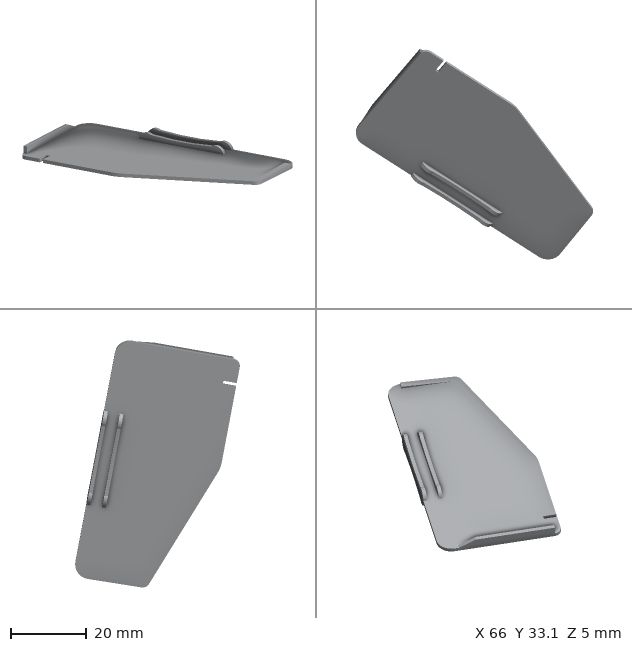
import cadquery as cq
import math

length = 66.0
depth = 33.1
thickness = 1.0
top_face = thickness / 2

right_edge_lean = 0.25
diagonal_start_x = 29.75
diagonal_end_y = 13.4
back_corner_radius = 3.95
front_corner_radius = 2.0
diagonal_start_radius = 7.9
diagonal_end_radius = 2.0

slot_x = 6.2
slot_width = 1.0
slot_depth = 3.55

lip_width = 1.05
lip_front_y = 2.0
lip_slope_y = 23.35
lip_back_y = 28.0
lip_top = 2.5

tab_width = 1.8
tab_height = 0.6
tab_front_y = 14.9
tab_back_y = depth - back_corner_radius

grip_center_x = 32.97
grip_length = 26.2
grip_end_radius = 2.5
grip_waist = 1.7
grip_hollow_offset = 1.25
grip_wall = 1.0
grip_pitch = 4.15

lean_per_y = right_edge_lean / (tab_back_y - tab_front_y)


def right_edge_x(y):
    """X of the leaning right edge at a given Y."""
    return length - (tab_back_y - y) * lean_per_y


def make_plate():
    corners = [
        (0, 0, front_corner_radius),
        (diagonal_start_x, 0, diagonal_start_radius),
        (right_edge_x(diagonal_end_y), diagonal_end_y, diagonal_end_radius),
        (right_edge_x(depth), depth, back_corner_radius),
        (0, depth, back_corner_radius),
    ]
    plate = (
        cq.Workplane("XY", origin=(0, 0, -top_face))
        .polyline([(x, y) for x, y, _ in corners])
        .close()
        .extrude(thickness)
    )
    for x, y, radius in corners:
        corner_edge = cq.selectors.NearestToPointSelector((x, y, 0))
        plate = plate.edges("|Z").edges(corner_edge).fillet(radius)
    slot = cq.Workplane("XY").box(slot_width, slot_depth, thickness, centered=(False, False, True))
    return plate.cut(slot.translate((slot_x, 0, 0)))


def make_lip():
    return (
        cq.Workplane("YZ")
        .moveTo(lip_front_y, 0)
        .lineTo(lip_back_y, 0)
        .lineTo(lip_back_y, top_face)
        .lineTo(lip_slope_y, lip_top)
        .lineTo(lip_front_y, lip_top)
        .close()
        .extrude(lip_width)
    )


def make_tab():
    front_x = right_edge_x(tab_front_y)
    back_x = right_edge_x(tab_back_y)
    footprint = (
        cq.Workplane("XY")
        .moveTo(front_x, tab_front_y)
        .lineTo(back_x, tab_back_y)
        .lineTo(back_x - tab_width, tab_back_y)
        .lineTo(front_x - tab_width, tab_front_y)
        .close()
        .extrude(top_face + tab_height)
    )
    wedge = (
        cq.Workplane("YZ")
        .moveTo(tab_front_y, 0)
        .lineTo(tab_back_y, 0)
        .lineTo(tab_back_y, top_face + tab_height)
        .lineTo(tab_front_y, top_face)
        .close()
        .extrude(length)
    )
    return footprint.intersect(wedge)


def make_grip_wall(back_y):
    end_x = grip_length / 2
    circle_x = end_x - grip_end_radius
    hollow_x = circle_x - grip_hollow_offset
    hollow_z = math.sqrt(grip_end_radius**2 - grip_hollow_offset**2)
    return (
        cq.Workplane("XZ", origin=(grip_center_x, back_y, 0))
        .moveTo(-hollow_x, hollow_z)
        .threePointArc((0, grip_waist), (hollow_x, hollow_z))
        .threePointArc((end_x, 0), (hollow_x, -hollow_z))
        .threePointArc((0, -grip_waist), (-hollow_x, -hollow_z))
        .threePointArc((-end_x, 0), (-hollow_x, hollow_z))
        .close()
        .extrude(grip_wall)
    )


result = make_plate().union(make_lip()).union(make_tab())
for wall_back_y in (depth, depth - grip_pitch):
    result = result.union(make_grip_wall(wall_back_y))